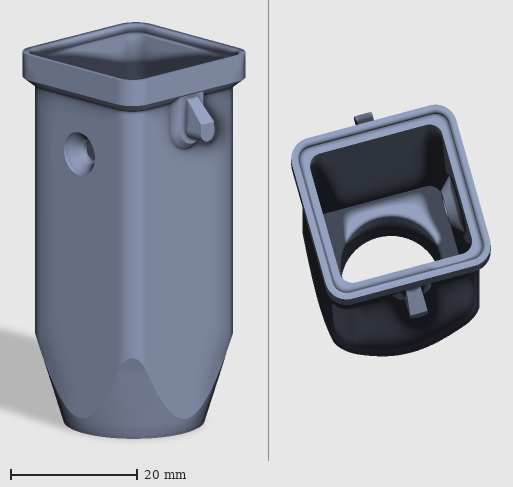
import cadquery as cq

HEIGHT = 60.5
BODY_WIDTH = 24.0
BODY_CORNER_RADIUS = 3.15

FLANGE_WIDTH = 27.0
FLANGE_HEIGHT = 4.1
FLANGE_CORNER_RADIUS = 3.45
RIM_FLAT = 0.6
RIM_FILLET = 0.6
LEDGE_DEPTH = 1.2

NOSE_RADIUS = 11.2
NOSE_SLOPE = 0.31

CAVITY_WIDTH = 21.65
CAVITY_CORNER_RADIUS = 2.1
CAVITY_MOUTH_DEPTH = 2.25
CAVITY_INSET = 0.03
FLOOR_Z = 14.5
BORE_RADIUS = 7.9
BORE_FILLET = 0.55

SCREW_Z = 46.0
SCREW_HEAD_RADIUS = 3.5
SCREW_HOLE_RADIUS = 1.6
SCREW_HEAD_RIM = 0.5
BOSS_BASE_RADIUS = 4.7
BOSS_END_RADIUS = 2.7
BOSS_HEIGHT = 1.95

PIN_SPAN = 33.5
PIN_Z = 50.6
PIN_RADIUS = 1.5
PIN_TOP_HALF_WIDTH = 1.15
PIN_TIP_TOP_Z = 52.0
PAD_HEIGHT = 1.2
PAD_END_RADIUS = 2.55
PIN_ROOT_DEPTH = 0.6

LEVEL_TOLERANCE = 0.05

flange_bottom = HEIGHT - FLANGE_HEIGHT
flange_overhang = (FLANGE_WIDTH - BODY_WIDTH) / 2
ledge_z = HEIGHT - LEDGE_DEPTH
mouth_bottom = ledge_z - CAVITY_MOUTH_DEPTH


def rounded_square(width, corner_radius):
    return cq.Sketch().rect(width, width).vertices().fillet(corner_radius)


def rounded_block(z_low, z_high, width, corner_radius):
    """Straight rounded-square prism between two heights."""
    base = cq.Workplane("XY").workplane(offset=z_low)
    return base.placeSketch(rounded_square(width, corner_radius)).extrude(z_high - z_low)


def square_transition(z_low, width_low, radius_low, z_high, width_high, radius_high):
    """Loft between two rounded squares of different size."""
    low = rounded_square(width_low, radius_low)
    high = rounded_square(width_high, radius_high).moved(cq.Location(cq.Vector(0, 0, z_high - z_low)))
    return cq.Workplane("XY").workplane(offset=z_low).placeSketch(low, high).loft()


def make_body():
    """Square shaft trimmed by the nose cone."""
    shaft = rounded_block(0, flange_bottom, BODY_WIDTH, BODY_CORNER_RADIUS)
    cone_top_radius = NOSE_RADIUS + NOSE_SLOPE * HEIGHT
    cone_profile = [(0, 0), (NOSE_RADIUS, 0), (cone_top_radius, HEIGHT), (0, HEIGHT)]
    cone = cq.Workplane("XZ").polyline(cone_profile).close().revolve(360, (0, 0), (0, 1))
    return shaft.intersect(cone)


def make_flange():
    """Top flange with a 45 degree underside."""
    band = rounded_block(flange_bottom, HEIGHT, FLANGE_WIDTH, FLANGE_CORNER_RADIUS)
    underside = square_transition(
        flange_bottom - flange_overhang, BODY_WIDTH, BODY_CORNER_RADIUS,
        flange_bottom, FLANGE_WIDTH, FLANGE_CORNER_RADIUS,
    )
    return band.union(underside)


def make_latch_pin():
    """Pad and pin on the +X wall."""
    wall_x = BODY_WIDTH / 2
    pad_x = wall_x + PAD_HEIGHT
    tip_x = PIN_SPAN / 2
    pin_top_z = PIN_TIP_TOP_Z + tip_x - pad_x
    root_x = wall_x - PIN_ROOT_DEPTH

    foot_radius = PAD_END_RADIUS + PAD_HEIGHT
    pad_profile = [(0, 0), (foot_radius, 0), (PAD_END_RADIUS, PAD_HEIGHT), (0, PAD_HEIGHT)]
    pad_section = [
        (0, -foot_radius), (PAD_HEIGHT, -PAD_END_RADIUS), (PAD_HEIGHT, PAD_END_RADIUS), (0, foot_radius),
    ]
    pad_end = (
        cq.Workplane("XZ").polyline(pad_profile).close()
        .revolve(360, (0, 0), (0, 1))
        .rotate((0, 0, 0), (0, 1, 0), 90)
        .translate((wall_x, 0, PIN_Z))
    )
    pad_run = (
        cq.Workplane("XY", origin=(wall_x, 0, PIN_Z))
        .polyline(pad_section).close()
        .extrude(flange_bottom - PIN_Z)
    )

    pin = (
        cq.Workplane("YZ", origin=(root_x, 0, 0))
        .moveTo(-PIN_RADIUS, PIN_Z)
        .threePointArc((0, PIN_Z - PIN_RADIUS), (PIN_RADIUS, PIN_Z))
        .lineTo(PIN_TOP_HALF_WIDTH, pin_top_z)
        .lineTo(-PIN_TOP_HALF_WIDTH, pin_top_z)
        .close()
        .extrude(tip_x - root_x)
    )
    ramp = (
        cq.Workplane("XZ")
        .polyline([(pad_x, pin_top_z), (tip_x, PIN_TIP_TOP_Z), (tip_x, pin_top_z)]).close()
        .extrude(PIN_RADIUS, both=True)
    )
    return pad_end.union(pad_run).union(pin.cut(ramp))


def make_cavity():
    """Stepped rim recess, square cavity and cable bore."""
    rim_wall = RIM_FLAT + RIM_FILLET
    recess = rounded_block(ledge_z, HEIGHT, FLANGE_WIDTH - 2 * rim_wall, FLANGE_CORNER_RADIUS - rim_wall)
    mouth = rounded_block(mouth_bottom, ledge_z, CAVITY_WIDTH, CAVITY_CORNER_RADIUS)
    chamber = square_transition(
        FLOOR_Z, CAVITY_WIDTH - 2 * CAVITY_INSET, CAVITY_CORNER_RADIUS - CAVITY_INSET,
        mouth_bottom, CAVITY_WIDTH, CAVITY_CORNER_RADIUS,
    )
    bore = cq.Workplane("XY").circle(BORE_RADIUS).extrude(FLOOR_Z)
    return recess.union(mouth).union(chamber).union(bore)


def round_opening(solid, face_z, radius):
    """Fillet the inner edge of the upward facing ring at height face_z."""
    reach = FLANGE_WIDTH
    level_band = cq.selectors.BoxSelector(
        (-reach, -reach, face_z - LEVEL_TOLERANCE), (reach, reach, face_z + LEVEL_TOLERANCE), boundingbox=True
    )
    ring = solid.faces(level_band).val()
    opening = ring.innerWires()[0]
    return cq.Workplane(solid.val().fillet(radius, opening.Edges()))


def turned_into_front_wall(profile):
    """Revolve (radius, depth) points about the screw axis, depth measured inward from the -Y face."""
    return (
        cq.Workplane("XY", origin=(0, -BODY_WIDTH / 2, SCREW_Z))
        .polyline(profile).close()
        .revolve(360, (0, 0), (0, 1))
    )


def make_screw_boss():
    wall = (BODY_WIDTH - CAVITY_WIDTH) / 2
    embed = wall / 2
    end = wall + BOSS_HEIGHT
    return turned_into_front_wall([
        (0, embed), (BOSS_BASE_RADIUS, embed), (BOSS_BASE_RADIUS, wall), (BOSS_END_RADIUS, end), (0, end),
    ])


def make_screw_hole():
    """Shallow straight rim, 45 degree countersink, then a through hole."""
    cone_end = SCREW_HEAD_RIM + SCREW_HEAD_RADIUS - SCREW_HOLE_RADIUS
    end = BODY_WIDTH / 2
    return turned_into_front_wall([
        (0, 0),
        (SCREW_HEAD_RADIUS, 0),
        (SCREW_HEAD_RADIUS, SCREW_HEAD_RIM),
        (SCREW_HOLE_RADIUS, cone_end),
        (SCREW_HOLE_RADIUS, end),
        (0, end),
    ])


latch_pin = make_latch_pin()
shell = (
    make_body()
    .union(make_flange())
    .union(latch_pin)
    .union(latch_pin.mirror("YZ"))
    .cut(make_cavity())
)
shell = round_opening(shell, HEIGHT, RIM_FILLET)
shell = round_opening(shell, FLOOR_Z, BORE_FILLET)
result = shell.union(make_screw_boss()).cut(make_screw_hole())